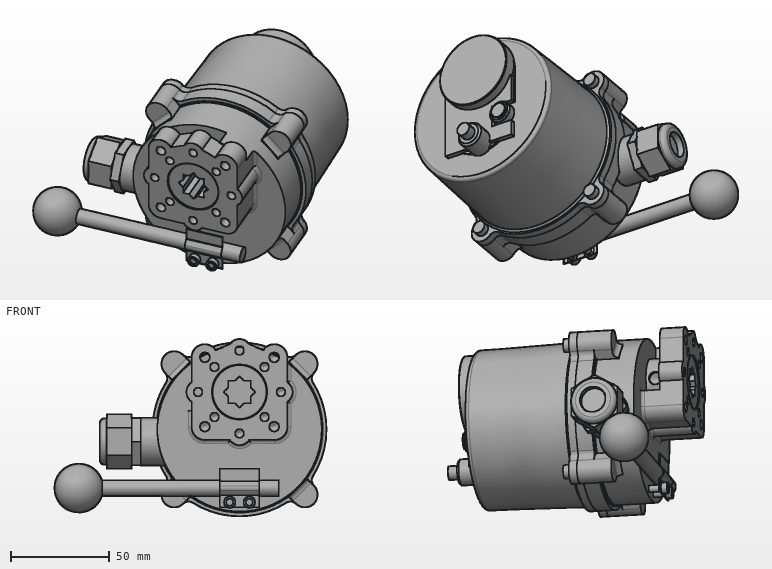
import cadquery as cq
import math


plate_back = 12.2
base_front = 21.9
lug_front = 34.1
flange_front = 43.5
split_level = 52.0
flange_back = 56.3
cover_end = 110.4
stem_tip = 127.5

base_radius = 41.9
flange_radius = 44.4
shoulder_radius = 42.4
shoulder_height = 0.8
lug_offset = 33.3
lug_radius = 6.5
lug_blend = 4.2
lug_foot_fillet = 2.8
lug_foot_clearance = 0.1
lug_places = [(sx * lug_offset, sz * lug_offset) for sx in (-1, 1) for sz in (-1, 1)]

drive_z = 19.0
plate_half = 24.4
plate_slope = 22.5
bolt_circle_large = 25.0
bolt_circle_ear = 21.1
bolt_circle_small = 18.0
corner_radius = 6.7
ear_radius = 6.0
large_bolt_hole = 5.0
small_bolt_hole = 4.5
bolt_hole_depth = 16.9
drill_point_angle = 118.0

pedestal_fillet = 1.7
relief_limit = 9.4
neck_radius = 13.2
grub_hole_diameter = 6.7
grub_hole_depth = 2.1
grub_hole_y = 17.0

drive_recess_radius = 13.7
drive_recess_depth = 0.5
drive_recess_chamfer = 0.35
star_square = 11.4
star_depth = 16.6

cover_root_radius = 42.3
cover_end_radius = 40.9
cover_edge_fillet = 2.1
root_depth = 1.4
cover_root_fillet = 1.1
screw_end_radius = 3.5
screw_end_height = 3.6
window_radius = 20.1
window_end = 118.3
window_chamfer = 0.4
pad_half_width = 20.5
pad_height = 0.8
pad_bottom, pad_top = -26.6, 37.2
panel_half_width = 19.8
panel_height = 2.6
panel_bottom, panel_top = -23.4, 12.3
button_x = -14.0
button_z = -8.9
button_radius = 6.0
button_height = 5.3
button_chamfer = 0.8
button_cap_radius = 4.0
button_cap_height = 1.0
stem_z = -21.4
stem_radius = 6.8
stem_end = 122.3
stem_chamfer = 1.1
stem_tip_radius = 3.6

gland_y = 36.6
gland_z = -6.2
gland_seat_x = -37.5
gland_barrel_radius = 12.2
gland_nut_flats = 24.1
lock_nut_start, lock_nut_end = -50.2, -54.9
cap_nut_end = -67.5
gland_end = -71.3
gland_collar_radius = 11.9
gland_collar_fillet = 2.8
cable_hole_radius = 6.7
cable_hole_depth = 3.6

lever_diameter = 8.2
lever_radius = lever_diameter / 2
lever_z = -30.0
lever_y = base_front - lever_radius
lever_end_x = 20.1
ball_radius = 12.5
ball_x = -81.8
clip_half_length = 10.0
clip_half_height = 9.8
clip_sheet = 0.5
clip_back = 15.8
clip_channel_width = 7.1
clip_channel_half = clip_channel_width / 2
clip_ridge_half = 1.1
clip_ridge_height = 2.0
clip_ridge_crown = 0.3
clip_screw_spacing = 10.0
clip_screw_z = -37.2
clip_screw_radius = 2.9
clip_screw_head = 3.0
clip_screw_shank_radius = 1.8
clip_socket_radius = 1.8
clip_socket_depth = 0.5


def plane_at(y, x=0.0, z=0.0):
    """Workplane facing -Y, with local axes along X and Z."""
    return cq.Workplane("XZ", origin=(x, y, z))


def disc(radius, y_start, y_end, x=0.0, z=0.0):
    """Cylinder along Y."""
    return plane_at(y_start, x, z).circle(radius).extrude(y_start - y_end)


def slab(x_range, y_range, z_range):
    """Box between the given limits."""
    size = [high - low for low, high in (x_range, y_range, z_range)]
    corner = (x_range[0], y_range[0], z_range[0])
    return cq.Workplane("XY", origin=corner).box(*size, centered=False)


def drilled_hole(diameter, depth, point, direction):
    """Cylinder with a conical drill point, starting at a point."""
    radius = diameter / 2
    tip = radius / math.tan(math.radians(drill_point_angle / 2))
    start, axis = cq.Vector(*point), cq.Vector(*direction)
    shank = cq.Solid.makeCylinder(radius, depth, start, axis)
    cone = cq.Solid.makeCone(radius, 0, tip, start + axis * depth, axis)
    return cq.Workplane(shank).union(cq.Workplane(cone))



def lug(x, z, y_start, y_end):
    """Round-ended lug reaching from the body axis out to one corner."""
    reach = math.hypot(x, z)
    return (
        plane_at(y_start)
        .transformed(rotate=(0, 0, math.degrees(math.atan2(z, x))))
        .moveTo(0, -lug_radius)
        .lineTo(reach, -lug_radius)
        .threePointArc((reach + lug_radius, 0), (reach, lug_radius))
        .lineTo(0, lug_radius)
        .close()
        .extrude(y_start - y_end)
    )


def flange(y_start, y_end):
    """Round flange with four lugs blended into its rim."""
    body = disc(flange_radius, y_start, y_end)
    for x, z in lug_places:
        body = body.union(lug(x, z, y_start, y_end))
    rim_contact = math.sqrt(flange_radius**2 - lug_radius**2)
    middle = (y_start + y_end) / 2
    for x, z in lug_places:
        out_x, out_z = math.copysign(math.sqrt(0.5), x), math.copysign(math.sqrt(0.5), z)
        for side in (-lug_radius, lug_radius):
            corner = (rim_contact * out_x - side * out_z, middle, rim_contact * out_z + side * out_x)
            body = body.edges(cq.selectors.NearestToPointSelector(corner)).fillet(lug_blend)
    return body



def bolt_point(circle_radius, angle):
    """X and Z of a point on a bolt circle around the drive."""
    turn = math.radians(angle)
    return circle_radius * math.cos(turn), drive_z + circle_radius * math.sin(turn)


def plate_outline(y_start, y_end):
    """Square plate with a peaked top, rounded corners and four round ears."""
    slope = math.radians(plate_slope)
    corner = plate_half - corner_radius
    peak = plate_half / math.cos(slope)
    shoulder = peak - corner * math.tan(slope)
    body = (
        plane_at(y_start, z=drive_z)
        .moveTo(-plate_half, -corner)
        .radiusArc((-corner, -plate_half), -corner_radius)
        .lineTo(corner, -plate_half)
        .radiusArc((plate_half, -corner), -corner_radius)
        .lineTo(plate_half, corner)
        .lineTo(corner, shoulder)
        .lineTo(0, peak)
        .lineTo(-corner, shoulder)
        .lineTo(-plate_half, corner)
        .close()
        .extrude(y_start - y_end)
    )
    for side in (-corner, corner):
        body = body.union(disc(corner_radius, y_start, y_end, side, drive_z + corner))
    for angle in (0, 90, 180, 270):
        x, z = bolt_point(bolt_circle_ear, angle)
        body = body.union(disc(ear_radius, y_start, y_end, x, z))
    return body


def pedestal():
    """Foot of the plate: filleted onto the base, with the -X +Z quadrant relieved to a round neck."""
    reach = 2 * base_radius
    body = slab((-plate_half, plate_half), (plate_back, base_front), (drive_z - plate_half, reach))
    body = body.edges("|Y and <Z").fillet(corner_radius)
    for angle in (0, 270):
        x, z = bolt_point(bolt_circle_ear, angle)
        body = body.union(disc(ear_radius, plate_back, base_front, x, z))
    body = body.union(slab((-reach, reach), (base_front, lug_front), (-reach, reach)))
    margin = pedestal_fillet / 2
    junction = cq.selectors.BoxSelector(
        (-base_radius, base_front - margin, -base_radius), (base_radius, base_front + margin, reach - margin)
    )
    body = body.edges(junction).fillet(pedestal_fillet)
    body = body.intersect(disc(base_radius, plate_back, lug_front))
    relief = slab((-reach, relief_limit), (plate_back, base_front), (drive_z - relief_limit, reach))
    return body.cut(relief).union(disc(neck_radius, plate_back, base_front, z=drive_z))


def lug_foot(x, z):
    """Concave fillet between the front end of a lug and the base wall."""
    inner = base_radius + lug_foot_clearance
    outer = inner + lug_foot_fillet
    front = lug_front - lug_foot_fillet
    bend = lug_foot_fillet * (1 - math.sqrt(0.5))
    root = base_radius - lug_radius
    return (
        cq.Workplane("XY")
        .moveTo(root, front)
        .lineTo(inner, front)
        .threePointArc((inner + bend, lug_front - bend), (outer, lug_front))
        .lineTo(root, lug_front)
        .close()
        .extrude(lug_radius, both=True)
        .rotate((0, 0, 0), (0, 1, 0), -math.degrees(math.atan2(z, x)))
    )


def drill_bolt_holes(body):
    """Three bolt circles: through holes over the relief, drilled blind holes elsewhere."""
    patterns = [
        (bolt_circle_large, large_bolt_hole, (45, 135, 225, 315)),
        (bolt_circle_ear, small_bolt_hole, (0, 90, 180, 270)),
        (bolt_circle_small, small_bolt_hole, (45, 135, 225, 315)),
    ]
    for circle_radius, diameter, angles in patterns:
        for angle in angles:
            x, z = bolt_point(circle_radius, angle)
            over_relief = x < relief_limit and z > drive_z - relief_limit
            if over_relief:
                hole = disc(diameter / 2, 0, plate_back, x, z)
            else:
                hole = drilled_hole(diameter, bolt_hole_depth, (x, 0, z), (0, 1, 0))
            body = body.cut(hole)
    return body


def cut_drive(body):
    """Shallow round recess with an eight-pointed star socket."""
    recess = disc(drive_recess_radius, 0, drive_recess_depth, z=drive_z)
    bevel = cq.Workplane(cq.Solid.makeCone(
        drive_recess_radius + drive_recess_chamfer, drive_recess_radius, drive_recess_chamfer,
        cq.Vector(0, 0, drive_z), cq.Vector(0, 1, 0),
    ))
    body = body.cut(recess).cut(bevel)
    for turn in (0, 45):
        square = (
            plane_at(0, z=drive_z)
            .transformed(rotate=(0, 0, turn))
            .rect(star_square, star_square)
            .extrude(-star_depth)
        )
        body = body.cut(square)
    return body


def gland_seat():
    """Circle of the gland barrel at the bottom of its seat in the base."""
    return cq.Workplane("YZ", origin=(gland_seat_x, gland_y, gland_z)).circle(gland_barrel_radius)


def make_base():
    """Base housing with flange, lugs, pedestal, mounting plate and drive."""
    body = flange(flange_front, split_level)
    body = body.union(disc(base_radius, base_front, flange_front))
    body = body.union(disc(shoulder_radius, flange_front - shoulder_height, flange_front))
    for x, z in lug_places:
        body = body.union(lug(x, z, lug_front, flange_front)).union(lug_foot(x, z))
    body = body.union(pedestal()).union(plate_outline(0, plate_back))
    body = cut_drive(drill_bolt_holes(body))
    grub_hole = drilled_hole(
        grub_hole_diameter, grub_hole_depth, (-neck_radius, grub_hole_y, drive_z), (1, 0, 0)
    )
    return body.cut(grub_hole).cut(gland_seat().extrude(lock_nut_start - gland_seat_x))



def cover_shell():
    """Slightly tapered round cover on its flange."""
    dome = (
        cq.Workplane("XY")
        .moveTo(0, split_level)
        .lineTo(cover_root_radius, split_level)
        .lineTo(cover_root_radius, flange_back)
        .lineTo(cover_end_radius, cover_end)
        .lineTo(0, cover_end)
        .close()
        .revolve(360, (0, 0, 0), (0, 1, 0))
        .faces(">Y").edges().fillet(cover_edge_fillet)
    )
    root_ring = cq.Workplane(cq.Solid.makeCone(
        cover_root_radius + cover_root_fillet, cover_root_radius, cover_root_fillet,
        cq.Vector(0, flange_back, 0), cq.Vector(0, 1, 0),
    ))
    body = flange(split_level, flange_back).union(dome).union(root_ring)
    for x, z in lug_places:
        body = body.union(disc(screw_end_radius, split_level, flange_back + screw_end_height, x, z))
    return body


def cover_panel():
    """Raised pad and panel under the window, notched around the push button."""
    pad_start = cover_end - root_depth
    pad = (
        plane_at(pad_start, z=(pad_top + pad_bottom) / 2)
        .slot2D(pad_top - pad_bottom, 2 * pad_half_width, 90)
        .extrude(pad_start - cover_end - pad_height)
    )
    panel = slab(
        (-panel_half_width, panel_half_width), (pad_start, cover_end + panel_height),
        (panel_bottom, panel_top),
    )
    notch = slab(
        (-pad_half_width, button_x + button_radius), (cover_end, cover_end + panel_height),
        (button_z - button_radius, button_z + button_radius),
    )
    return pad.union(panel).cut(notch)


def make_cover():
    """Cover with window boss, push button and indicator stem on its end."""
    window = disc(window_radius, cover_end, window_end, z=drive_z).faces(">Y").chamfer(window_chamfer)
    button_top = cover_end + button_height
    button = disc(button_radius, cover_end - root_depth, button_top, button_x, button_z)
    button = button.faces(">Y").chamfer(button_chamfer)
    button_cap = disc(button_cap_radius, button_top, button_top + button_cap_height, button_x, button_z)
    stem = disc(stem_radius, cover_end, stem_end, z=stem_z).faces(">Y").chamfer(stem_chamfer)
    tip = disc(stem_tip_radius, cover_end, stem_tip, z=stem_z)
    body = cover_shell().union(cover_panel())
    for boss in (window, button, button_cap, stem, tip):
        body = body.union(boss)
    return body



def make_gland():
    """Cable gland: barrel, lock nut, cap nut and rounded collar."""
    def along_x(x):
        return cq.Workplane("YZ", origin=(x, gland_y, gland_z))

    nut_corners = gland_nut_flats / math.cos(math.radians(30))
    barrel = gland_seat().extrude(lock_nut_start - gland_seat_x)
    lock_nut = along_x(lock_nut_start).polygon(6, nut_corners).extrude(lock_nut_end - lock_nut_start)
    cap_nut = (
        along_x(lock_nut_end)
        .transformed(rotate=(0, 0, 30))
        .polygon(6, nut_corners)
        .extrude(cap_nut_end - lock_nut_end)
    )
    collar = (
        along_x(cap_nut_end)
        .circle(gland_collar_radius)
        .extrude(gland_end - cap_nut_end)
        .faces("<X").edges().fillet(gland_collar_fillet)
    )
    cable_hole = along_x(gland_end).circle(cable_hole_radius).extrude(cable_hole_depth)
    return barrel.union(lock_nut).union(cap_nut).union(collar).cut(cable_hole)



def lever_clip():
    """Thin clip with a raised channel over the rod, and its two socket screws."""
    front = clip_back - clip_sheet
    ridge = front - clip_ridge_height
    sheet = (
        cq.Workplane("YZ", origin=(-clip_half_length, 0, lever_z))
        .moveTo(clip_back, -clip_half_height)
        .lineTo(front, -clip_half_height)
        .lineTo(front, -clip_channel_half)
        .lineTo(ridge, -clip_ridge_half)
        .threePointArc((ridge - clip_ridge_crown, 0), (ridge, clip_ridge_half))
        .lineTo(front, clip_channel_half)
        .lineTo(front, clip_half_height)
        .lineTo(clip_back, clip_half_height)
        .close()
        .extrude(2 * clip_half_length)
    )
    head_end = front - clip_screw_head
    for x in (-clip_screw_spacing / 2, clip_screw_spacing / 2):
        shank = disc(clip_screw_shank_radius, front, base_front, x, clip_screw_z)
        head = disc(clip_screw_radius, head_end, front, x, clip_screw_z)
        socket = disc(clip_socket_radius, head_end, head_end + clip_socket_depth, x, clip_screw_z)
        sheet = sheet.union(shank).union(head).cut(socket)
    return sheet


def make_lever():
    """Hand lever: rod, ball knob and clip in one body."""
    rod = (
        cq.Workplane("YZ", origin=(ball_x, lever_y, lever_z))
        .circle(lever_radius)
        .extrude(lever_end_x - ball_x)
    )
    ball = (
        cq.Workplane("XZ", origin=(ball_x, lever_y, lever_z))
        .moveTo(-ball_radius, 0)
        .threePointArc((0, ball_radius), (ball_radius, 0))
        .close()
        .revolve(360, (0, 0, 0), (1, 0, 0))
    )
    return rod.union(ball).union(lever_clip())


base = make_base()
cover = make_cover()
gland = make_gland()
lever = make_lever()
result = cq.Compound.makeCompound([base.val(), cover.val(), gland.val(), lever.val()])